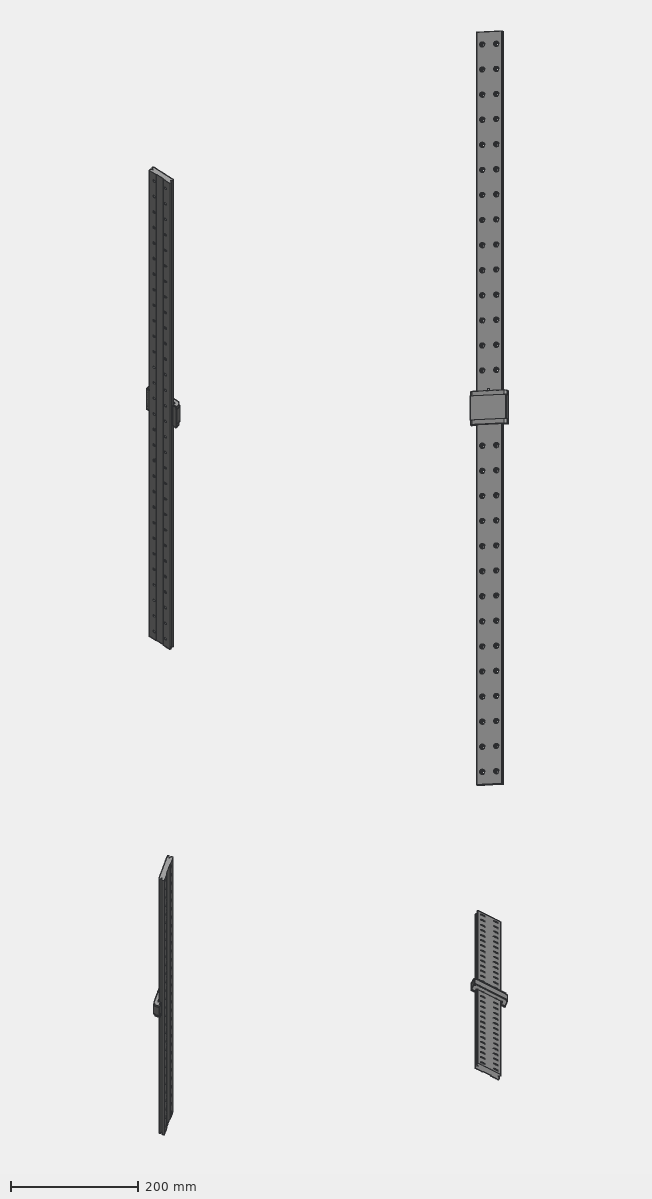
import cadquery as cq

rail_length = 1200
rail_width = 42.0
rail_height = 9.5
rail_chamfer = 1.0
base_channel_width = 15.0
base_channel_depth = 0.8
race_depth = 4.0
race_opening = 3.4
race_y = 5.2
hole_count = 30
hole_pitch = rail_length / hole_count
hole_row_spacing = 23.0
hole_diameter = 5.0
counterbore_diameter = 8.0
counterbore_depth = 4.5

carriage_width = 60.0
carriage_top = 15.0
carriage_bottom = 4.0
carriage_length = 53.0
block_chamfer = 1.1
cap_chamfer = 4.0
flange_top = 6.0
flange_step = 0.4
block_length = 38.0
cap_length = (carriage_length - block_length) / 2
running_gap = 0.6
opening_width = 45.0
opening_top = rail_height + running_gap

screw_diameter = 3.1
screw_depth = 3.0
screw_y = carriage_top - screw_depth
screw_projection = 4.0


def make_rail():
    half = rail_width / 2
    channel_half = base_channel_width / 2
    right_side = [
        (channel_half, base_channel_depth),
        (channel_half, 0),
        (half, 0),
        (half, race_y - race_opening / 2),
        (half - race_depth, race_y),
        (half, race_y + race_opening / 2),
        (half, rail_height - rail_chamfer),
        (half - rail_chamfer, rail_height),
    ]
    left_side = [(-x, y) for x, y in reversed(right_side)]
    rail = cq.Workplane("XY").polyline(right_side + left_side).close().extrude(rail_length / 2, both=True)
    hole_places = cq.Workplane("XZ", origin=(0, rail_height, 0)).rarray(
        hole_row_spacing, hole_pitch, 2, hole_count
    )
    through = hole_places.circle(hole_diameter / 2).extrude(rail_height)
    counterbores = hole_places.circle(counterbore_diameter / 2).extrude(counterbore_depth)
    return rail.cut(through).cut(counterbores)


def bar(width, bottom, top, length):
    """Rectangular bar along Z, centred on X and Z."""
    return cq.Workplane("XY").center(0, (bottom + top) / 2).rect(width, top - bottom).extrude(length / 2, both=True)


def opening(length):
    """Space for the rail under the carriage."""
    return bar(opening_width, 0, opening_top, length)


def saddle(length, chamfer):
    """Part of the carriage above the top of the flanges, centred on Z."""
    body = bar(carriage_width - 2 * flange_step, flange_top, carriage_top, length)
    return body.edges("|Z and >Y").chamfer(chamfer).cut(opening(length))


def make_block():
    flanges = bar(carriage_width, carriage_bottom, flange_top, carriage_length).cut(opening(carriage_length))
    return saddle(block_length, block_chamfer).union(flanges)


def make_end_cap(end):
    """End cap at the +Z end (end = 1) or the -Z end (end = -1)."""
    return saddle(cap_length, cap_chamfer).translate((0, 0, end * (block_length + cap_length) / 2))


def make_grease_screw():
    return (
        cq.Workplane("XY", origin=(0, screw_y, block_length / 2))
        .circle(screw_diameter / 2)
        .extrude(cap_length + screw_projection)
    )


rail = make_rail()
block = make_block()
grease_screw = make_grease_screw()
lower_cap = make_end_cap(-1)
upper_cap = make_end_cap(1).cut(grease_screw)

result = cq.Compound.makeCompound(
    [rail.val(), block.val(), lower_cap.val(), upper_cap.val(), grease_screw.val()]
)